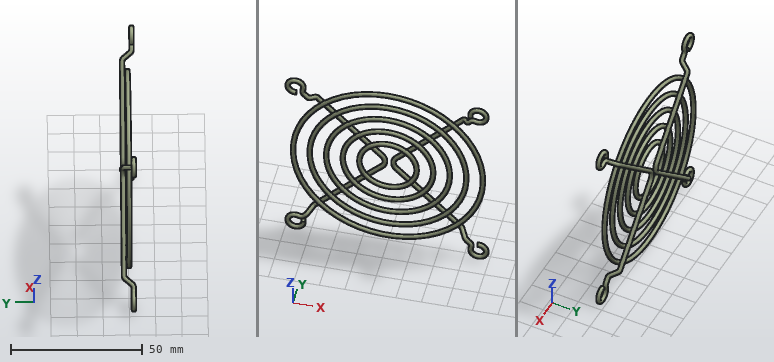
import cadquery as cq
import math

outer_size = 79.7
total_depth = 5.5
wire_dia = 1.8
wire_radius = wire_dia / 2

ring_count = 5
inner_ring_radius = 11.2
outer_ring_radius = 37.2
ring_pitch = (outer_ring_radius - inner_ring_radius) / (ring_count - 1)
ring_gap = 0.15

middle_bend_radius = 4.0
jog_angle = 50.0
jog_bend_radius = 1.6
neck_bend_radius = 2.0
eye_radius = 3.1
eye_tip_angle = 135.0 + 360.0
first_foot_length = 1.8
second_foot_length = 0.55
first_tip_length = 0.3
second_tip_length = 0.95

leg_y = wire_dia + ring_gap
eye_y = leg_y - (total_depth - wire_dia)

eye_center = math.sqrt(2) * (outer_size / 2 - wire_radius - eye_radius)
neck_reach = eye_radius + neck_bend_radius
neck_angle = math.degrees(math.asin(neck_bend_radius / neck_reach))
neck_center = eye_center - neck_reach * math.cos(math.radians(neck_angle))
jog_bend_run = jog_bend_radius * math.sin(math.radians(jog_angle))
jog_bend_rise = jog_bend_radius * (1 - math.cos(math.radians(jog_angle)))
jog_slope_rise = leg_y - eye_y - 2 * jog_bend_rise
jog_slope_run = jog_slope_rise / math.tan(math.radians(jog_angle))
jog_run = jog_slope_run + 2 * jog_bend_run


def make_ring(radius):
    return cq.Solid.makeTorus(radius, wire_radius, cq.Vector(0, 0, 0), cq.Vector(0, 1, 0))


def polar(center, radius, angle):
    """Point at an angle on a circle, in any plane."""
    a = math.radians(angle)
    return center[0] + radius * math.cos(a), center[1] + radius * math.sin(a)


def arm_point(direction, along, sideways, y):
    """Point given along and square to an arm that leaves the centre in a direction."""
    a = math.radians(direction)
    return cq.Vector(
        along * math.cos(a) - sideways * math.sin(a),
        y,
        along * math.sin(a) + sideways * math.cos(a),
    )


def flat_arc(direction, center, radius, start, end):
    """Arc in the plane of the eyes."""
    points = [polar(center, radius, angle) for angle in (start, (start + end) / 2, end)]
    return cq.Edge.makeThreePointArc(*[arm_point(direction, u, v, eye_y) for u, v in points])


def depth_arc(direction, center, start, end):
    """Jog bend in the plane of the arm and the Y axis."""
    points = [polar(center, jog_bend_radius, angle) for angle in (start, (start + end) / 2, end)]
    return cq.Edge.makeThreePointArc(*[arm_point(direction, u, 0, y) for u, y in points])


def arm_edges(direction, foot_length, tip_length):
    """Centreline from the end of the middle bend to the tip of the eye."""
    jog_end = neck_center - foot_length
    jog_start = jog_end - jog_run
    leg = cq.Edge.makeLine(
        arm_point(direction, middle_bend_radius, 0, leg_y),
        arm_point(direction, jog_start, 0, leg_y),
    )
    upper_bend = depth_arc(direction, (jog_start, leg_y - jog_bend_radius), 90, 90 - jog_angle)
    lower_bend = depth_arc(direction, (jog_end, eye_y + jog_bend_radius), 270 - jog_angle, 270)
    slope = cq.Edge.makeLine(upper_bend.endPoint(), lower_bend.startPoint())
    foot = cq.Edge.makeLine(lower_bend.endPoint(), arm_point(direction, neck_center, 0, eye_y))
    neck = flat_arc(direction, (neck_center, -neck_bend_radius), neck_bend_radius, 90, neck_angle)
    eye = flat_arc(direction, (eye_center, 0), eye_radius, 180 + neck_angle, eye_tip_angle)
    tip = cq.Edge.makeLine(eye.endPoint(), eye.endPoint() + eye.tangentAt(1) * tip_length)
    return [leg, upper_bend, slope, lower_bend, foot, neck, eye, tip]


def make_support_wire(side_direction):
    """Wire with two arms 45 degrees to either side of a direction, joined by the middle bend."""
    first_arm = side_direction - 45
    second_arm = side_direction + 45
    bend_apex = middle_bend_radius * (math.sqrt(2) - 1)
    middle_bend = cq.Edge.makeThreePointArc(
        arm_point(first_arm, middle_bend_radius, 0, leg_y),
        arm_point(side_direction, bend_apex, 0, leg_y),
        arm_point(second_arm, middle_bend_radius, 0, leg_y),
    )
    first_edges = arm_edges(first_arm, first_foot_length, first_tip_length)
    second_edges = arm_edges(second_arm, second_foot_length, second_tip_length)
    path = cq.Wire.assembleEdges(first_edges[::-1] + [middle_bend] + second_edges)
    tip = first_edges[-1]
    section = cq.Plane(origin=tip.endPoint(), xDir=(0, 1, 0), normal=tip.tangentAt(1) * -1)
    return cq.Workplane(section).circle(wire_radius).sweep(cq.Workplane(path)).val()


rings = [make_ring(inner_ring_radius + i * ring_pitch) for i in range(ring_count)]
support_wires = [make_support_wire(side_direction) for side_direction in (0, 180)]

result = cq.Compound.makeCompound([*rings, *support_wires])